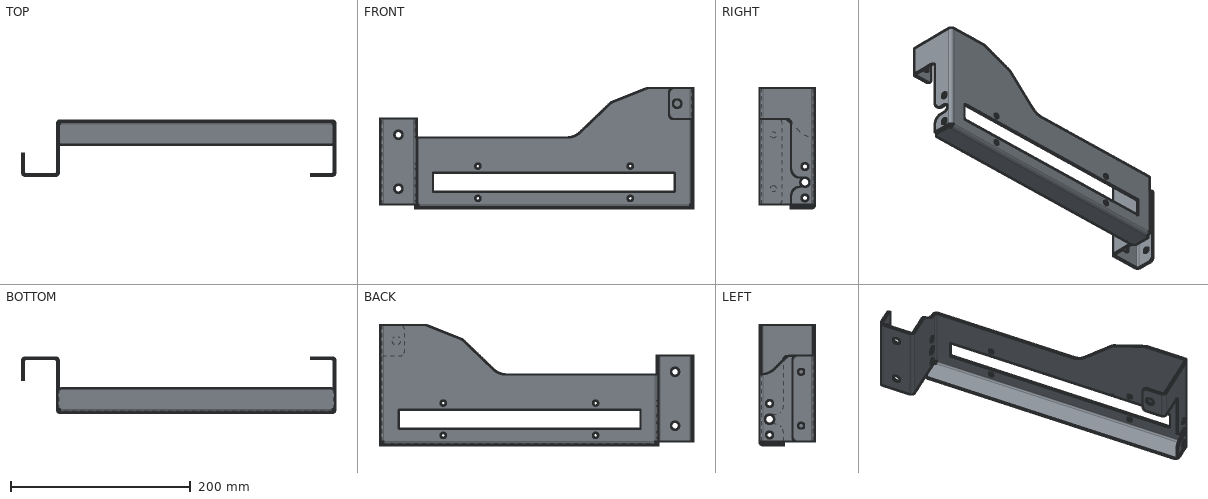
import cadquery as cq

length = 349.0
depth = 61.8
height = 134.0

sheet = 2.0
bend_inside = 2.0
bend_outside = sheet + bend_inside

channel_width = 41.0
channel_top = 100.0
channel_lip_depth = 25.0
channel_lip_corner = 5.0
side_hole_setback = 11.2
shoulder_low = 79.0
shoulder_start_setback = 10.6
shoulder_inner_radius = 22.0
shoulder_outer_radius = 10.0

channel_hole_low = 21.8
channel_hole_pitch = 60.0
front_hole_x = 20.5
front_hole_diameter = 8.8
lip_hole_y = 15.4
lip_hole_diameter = 6.8

slope_start = (216.8, shoulder_low)
slope_end = (257.4, 118.0)
crest_start = (297.7, height)
slope_start_radius = 20.0
slope_end_radius = 10.0
hole_row_z = 29.0
window_left = 59.0
window_width = 269.0
window_height = 21.0
window_corner = 1.0
screw_hole_left = 109.0
screw_hole_pitch_x = 169.6
screw_hole_pitch_z = 36.0
screw_hole_diameter = 5.5

side_hole_pitch = 35.0
side_hole_diameter = 7.2
centre_hole_diameter = 10.0

wall_depth = 26.5
wall_step_radius = 5.0
slot_mouth_radius = 10.0
tab_width = 27.1
tab_height = 34.7
tab_corner = 5.0
tab_hole_x = 330.8
tab_hole_z = 116.5
tab_hole_diameter = 9.5

flange_width = 27.4
flange_corner = 5.0
flange_bend_relief = 1.0

web_x = channel_width - sheet
tab_bottom = height - tab_height
plate_start_x = channel_width + bend_inside
flange_bend_start_x = channel_width + flange_bend_relief
flange_bend_end_x = length - sheet - flange_bend_relief


def box(x0, x1, y0, y1, z0, z1):
    """Block between two opposite corners."""
    return cq.Workplane("XY").box(x1 - x0, y1 - y0, z1 - z0, centered=False).translate((x0, y0, z0))


def prism_along_x(points, x0, x1):
    """Solid with a (y, z) outline, running from x0 to x1."""
    return cq.Workplane("YZ").workplane(offset=x0).polyline(points).close().extrude(x1 - x0)


def prism_along_y(points, y0, y1):
    """Solid with an (x, z) outline, running from y0 to y1."""
    return cq.Workplane("XZ").workplane(offset=-y1).polyline(points).close().extrude(y1 - y0)


def pin_along_x(y, z, diameter, x0, x1):
    """Cylinder parallel to X, from x0 to x1."""
    return cq.Workplane("YZ").workplane(offset=x0).center(y, z).circle(diameter / 2).extrude(x1 - x0)


def pin_along_y(x, z, diameter, y0, y1):
    """Cylinder parallel to Y, from y0 to y1."""
    return cq.Workplane("XZ").workplane(offset=-y1).center(x, z).circle(diameter / 2).extrude(y1 - y0)


def round_edge(solid, direction, point, radius):
    """Fillet the edge parallel to direction that lies nearest to point."""
    return solid.edges(direction).edges(cq.selectors.NearestToPointSelector(point)).fillet(radius)


def folded_strip():
    """Full-height sheet folded four times: lip, channel front, web, plate, right wall and tab."""
    path = [
        (sheet / 2, channel_lip_depth),
        (sheet / 2, sheet / 2),
        (channel_width - sheet / 2, sheet / 2),
        (channel_width - sheet / 2, depth - sheet / 2),
        (length - sheet / 2, depth - sheet / 2),
        (length - sheet / 2, sheet / 2),
        (length - tab_width, sheet / 2),
    ]
    centre_line = cq.Workplane("XY").polyline(path).wire().val()
    bend_vertices = centre_line.Vertices()[1:-1]
    centre_line = centre_line.fillet2D(bend_inside + sheet / 2, bend_vertices)
    profile = cq.Workplane("XZ", origin=(sheet / 2, channel_lip_depth, 0)).rect(sheet, 2 * height)
    strip = profile.sweep(cq.Workplane(centre_line))
    return strip.intersect(box(0, length, 0, depth, bend_outside, height))


def web_trim():
    """Waste above the left channel, with the sloped shoulder down to the plate's upper edge."""
    shoulder_start_y = depth - shoulder_start_setback
    shoulder_end_y = shoulder_start_y - (channel_top - shoulder_low)
    waste = prism_along_x(
        [
            (0, channel_top),
            (shoulder_end_y, channel_top),
            (shoulder_start_y, shoulder_low),
            (depth, shoulder_low),
            (depth, height),
            (0, height),
        ],
        0,
        plate_start_x,
    )
    mid_x = plate_start_x / 2
    waste = round_edge(waste, "|X", (mid_x, shoulder_start_y, shoulder_low), shoulder_inner_radius)
    return round_edge(waste, "|X", (mid_x, shoulder_end_y, channel_top), shoulder_outer_radius)


def plate_trim():
    """Waste above the sloped upper edge of the main plate."""
    y0 = depth - bend_outside
    waste = prism_along_y(
        [(plate_start_x, shoulder_low), slope_start, slope_end, crest_start, (plate_start_x, height)],
        y0,
        depth,
    )
    mid_y = (y0 + depth) / 2
    waste = round_edge(waste, "|Y", (slope_start[0], mid_y, slope_start[1]), slope_start_radius)
    return round_edge(waste, "|Y", (slope_end[0], mid_y, slope_end[1]), slope_end_radius)


def wall_trim():
    """Waste in front of the narrow lower part of the right wall, with the slot's flared mouth."""
    x0 = length - tab_width
    wall_edge_y = depth - wall_depth
    slot_end_y = depth - side_hole_setback
    slot_half = centre_hole_diameter / 2
    waste = prism_along_x(
        [
            (0, 0),
            (wall_edge_y, 0),
            (wall_edge_y, hole_row_z - slot_half),
            (slot_end_y, hole_row_z - slot_half),
            (slot_end_y, hole_row_z + slot_half),
            (wall_edge_y, hole_row_z + slot_half),
            (wall_edge_y, tab_bottom),
            (0, tab_bottom),
        ],
        x0,
        length,
    )
    mid_x = (x0 + length) / 2
    for side in (-1, 1):
        lip = (mid_x, wall_edge_y, hole_row_z + side * slot_half)
        waste = round_edge(waste, "|X", lip, slot_mouth_radius)
    return round_edge(waste, "|X", (mid_x, wall_edge_y, tab_bottom), wall_step_radius)


def bottom_flange():
    """Bend along the plate's lower edge and the flat flange that runs forward from it."""
    bend_y = depth - bend_outside
    x0 = flange_bend_start_x
    x1 = flange_bend_end_x
    ring = pin_along_x(bend_y, bend_outside, 2 * bend_outside, x0, x1)
    ring = ring.cut(pin_along_x(bend_y, bend_outside, 2 * bend_inside, x0, x1))
    bend = ring.intersect(box(x0, x1, bend_y, depth, 0, bend_outside))
    flange = box(web_x, length, depth - flange_width, bend_y, 0, sheet)
    return bend.union(flange.edges("|Z and <Y").fillet(flange_corner))


def cut_channel_holes(part):
    for z in (channel_hole_low, channel_hole_low + channel_hole_pitch):
        part = part.cut(pin_along_y(front_hole_x, z, front_hole_diameter, 0, sheet))
        part = part.cut(pin_along_x(lip_hole_y, z, lip_hole_diameter, 0, sheet))
    return part


def cut_plate_openings(part):
    y0 = depth - sheet
    window_bottom = hole_row_z - window_height / 2
    window = box(
        window_left, window_left + window_width, y0, depth, window_bottom, window_bottom + window_height
    )
    part = part.cut(window.edges("|Y").fillet(window_corner))
    for x in (screw_hole_left, screw_hole_left + screw_hole_pitch_x):
        for side in (-1, 1):
            z = hole_row_z + side * screw_hole_pitch_z / 2
            part = part.cut(pin_along_y(x, z, screw_hole_diameter, y0, depth))
    return part


def cut_side_holes(part):
    """Line of three holes through both the left web and the right wall."""
    y = depth - side_hole_setback
    part = part.cut(pin_along_x(y, hole_row_z, centre_hole_diameter, web_x, length))
    for side in (-1, 1):
        z = hole_row_z + side * side_hole_pitch / 2
        part = part.cut(pin_along_x(y, z, side_hole_diameter, web_x, length))
    return part


def round_free_corners(part):
    """Rounded corners on the free edges of the channel lip and the front tab."""
    for z in (bend_outside, channel_top):
        part = round_edge(part, "|X", (sheet / 2, channel_lip_depth, z), channel_lip_corner)
    for z in (tab_bottom, height):
        part = round_edge(part, "|Y", (length - tab_width, sheet / 2, z), tab_corner)
    return part


part = folded_strip().cut(web_trim()).cut(plate_trim()).cut(wall_trim())
part = round_free_corners(part)
part = part.union(bottom_flange())
part = cut_channel_holes(part)
part = cut_plate_openings(part)
part = cut_side_holes(part)
part = part.cut(pin_along_y(tab_hole_x, tab_hole_z, tab_hole_diameter, 0, sheet))

result = part